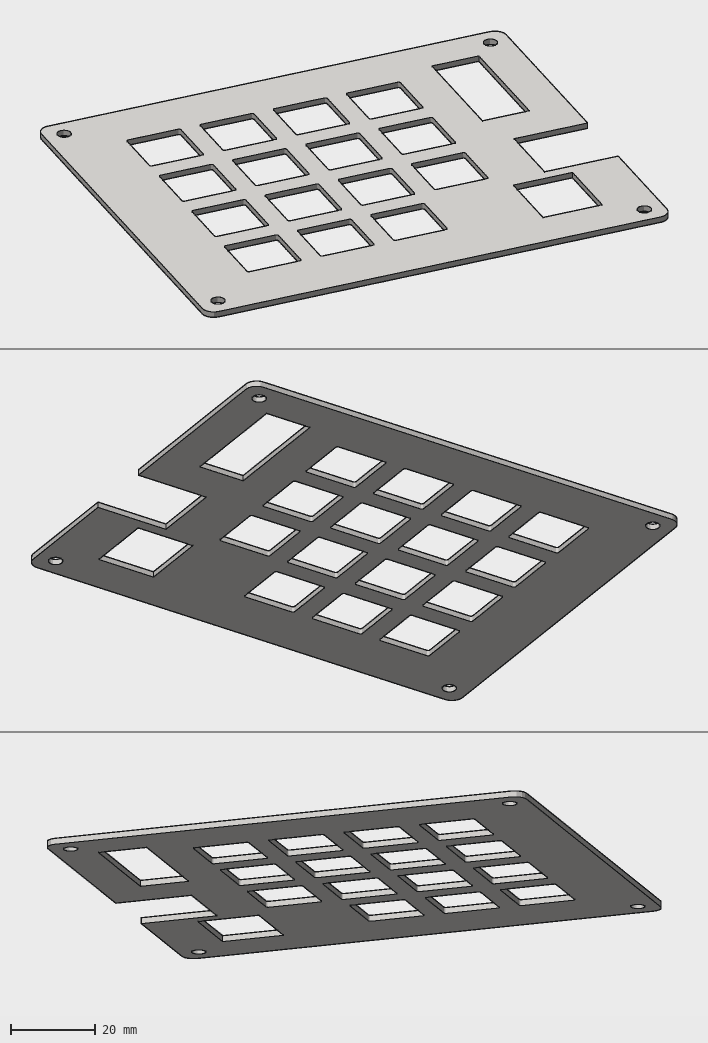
import cadquery as cq

plate_width = 100.19
plate_length = 121.0
plate_thickness = 1.5
corner_radius = 3.0

mount_hole_diameter = 3.4
mount_hole_inset = 5.0

key_size = 14.0
key_corner_radius = 0.5
key_pitch = 19.05
key_columns_per_row = [4, 4, 4, 3]
first_key_inset_x = 21.0
first_key_inset_y = 24.2
first_key_x = first_key_inset_x - plate_width / 2
first_key_y = first_key_inset_y - plate_length / 2

notch_width = 17.85
notch_depth = 19.15
notch_center_x = 9.55

display_width = 29.6
display_height = 12.2
display_center_x = -25.35
display_center_y = 44.15

square_window_width = 17.45
square_window_height = 15.4
square_window_center_x = 30.225
square_window_center_y = 39.55


def full_depth_block(width, length, center_x, center_y):
    """Rectangular block as thick as the plate."""
    block = cq.Workplane("XY").box(width, length, plate_thickness, centered=(True, True, False))
    return block.translate((center_x, center_y, 0))


def make_plate():
    plate = full_depth_block(plate_width, plate_length, 0, 0)
    return plate.edges("|Z").fillet(corner_radius)


def cut_mount_holes(plate):
    spacing_x = plate_width - 2 * mount_hole_inset
    spacing_y = plate_length - 2 * mount_hole_inset
    top = plate.faces(">Z").workplane(origin=(0, 0, plate_thickness))
    return top.rect(spacing_x, spacing_y, forConstruction=True).vertices().hole(mount_hole_diameter)


def cut_keys(plate):
    for row, column_count in enumerate(key_columns_per_row):
        for column in range(column_count):
            key_x = first_key_x + column * key_pitch
            key_y = first_key_y + row * key_pitch
            key = full_depth_block(key_size, key_size, key_x, key_y)
            plate = plate.cut(key.edges("|Z").fillet(key_corner_radius))
    return plate


def cut_notch(plate):
    notch_center_y = plate_length / 2 - notch_depth / 2
    return plate.cut(full_depth_block(notch_width, notch_depth, notch_center_x, notch_center_y))


def cut_windows(plate):
    display = full_depth_block(display_width, display_height, display_center_x, display_center_y)
    square_window = full_depth_block(
        square_window_width, square_window_height, square_window_center_x, square_window_center_y
    )
    return plate.cut(display).cut(square_window)


result = make_plate()
result = cut_mount_holes(result)
result = cut_keys(result)
result = cut_notch(result)
result = cut_windows(result)